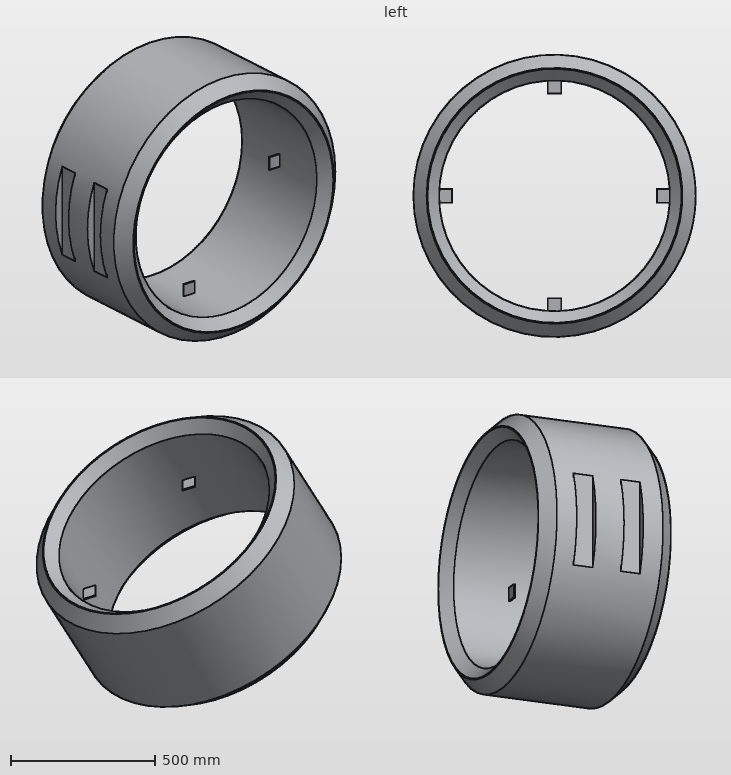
import cadquery as cq

ring_width = 500.0
outer_radius = 490.0
bore_radius = 800.0 / 2
outer_chamfer_length = 50.0
outer_chamfer_height = 46.0
inner_chamfer_length = 40.0
inner_chamfer_height = 40.0

slot_width = 73.0
slot_spacing = 178.0
slot_depth = 29.0

tab_count = 4
tab_width = 48.0
tab_tip_radius = 355.0
tab_thickness = 5.0
tab_embed = 10.0


def make_ring():
    """Revolve the wall section, chamfered at both ends, about the X axis."""
    end_x = ring_width / 2
    outer_shoulder_x = end_x - outer_chamfer_length
    inner_shoulder_x = end_x - inner_chamfer_length
    rim_outer = outer_radius - outer_chamfer_height
    rim_inner = bore_radius + inner_chamfer_height
    section = [
        (-end_x, rim_inner),
        (-end_x, rim_outer),
        (-outer_shoulder_x, outer_radius),
        (outer_shoulder_x, outer_radius),
        (end_x, rim_outer),
        (end_x, rim_inner),
        (inner_shoulder_x, bore_radius),
        (-inner_shoulder_x, bore_radius),
    ]
    return cq.Workplane("XY").polyline(section).close().revolve(360, (0, 0), (1, 0))


def make_slots():
    """Two blocks whose inner faces form the flat slot floors."""
    block_depth = 2 * slot_depth
    return (
        cq.Workplane("XY")
        .pushPoints([(-slot_spacing / 2, -outer_radius), (slot_spacing / 2, -outer_radius)])
        .box(slot_width, block_depth, 2 * outer_radius)
    )


def make_tab(angle):
    """One tab at mid-width, rooted in the wall and turned about the X axis."""
    tab_length = bore_radius + tab_embed - tab_tip_radius
    tab = cq.Workplane("XY").box(tab_thickness, tab_width, tab_length)
    tab = tab.translate((0, 0, tab_tip_radius + tab_length / 2))
    return tab.rotate((0, 0, 0), (1, 0, 0), angle)


result = make_ring().cut(make_slots())
for index in range(tab_count):
    result = result.union(make_tab(index * 360 / tab_count))